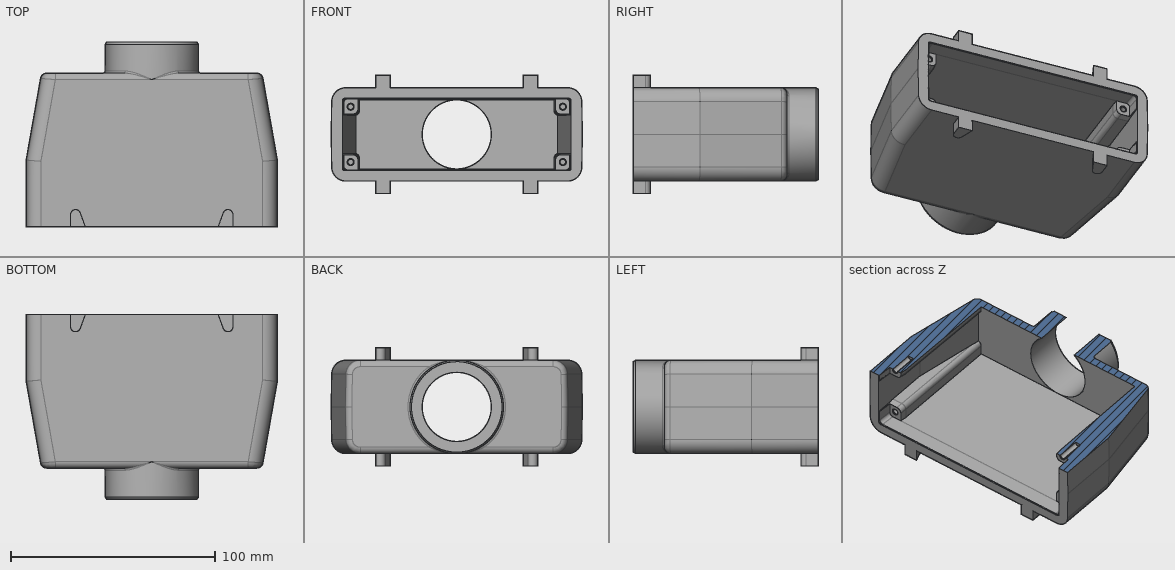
import cadquery as cq
import math

LENGTH = 123.0
SHELL_HALF_HEIGHT = 22.9
SHELL_DEPTH = 75.3
SIDE_BREAK_Y = 32.7
SIDE_ANGLE = 10.0
PARTING_DRAFT = 1.0
LONG_EDGE_RADIUS = 7.0
BACK_EDGE_RADIUS = 3.2

OVERALL_DEPTH = 90.5
COLLAR_RADIUS = SHELL_HALF_HEIGHT
COLLAR_RIM_CHAMFER_Y = 1.2
COLLAR_RIM_CHAMFER_R = 0.7
COLLAR_ROOT_RADIUS = 1.0
BORE_RADIUS = 16.9

MOUTH_HALF_X = 56.0
MOUTH_HALF_Z = 17.7
MOUTH_CHAMFER = 0.4
ENTRY_HALF_X = MOUTH_HALF_X - MOUTH_CHAMFER
ENTRY_DRAFT_X = 0.4
CAVITY_HALF_X = ENTRY_HALF_X - ENTRY_DRAFT_X
CAVITY_HALF_Z = MOUTH_HALF_Z - MOUTH_CHAMFER
CAVITY_BACK_HALF_Z = BORE_RADIUS
CAVITY_DEPTH = 70.7
CAVITY_CORNER_RADIUS = 1.8

BOSS_FRONT_Y = 7.9
BOSS_BREAK_Y = 11.3
BOSS_INNER_X = 48.3
BOSS_INNER_Z = 10.0
BOSS_DRAFT_STEP = 0.4
BOSS_CORNER_RADIUS = 2.5
SCREW_X = 51.9
SCREW_Z = 13.5
SCREW_RADIUS = 1.4
SCREW_CHAMFER = 0.4
SCREW_DEPTH = 12.3

OVERLAP = 1.2

LUG_OUTER_X = 39.7
LUG_TIP_RADIUS = 2.5
LUG_TIP_CENTRE_Y = 6.0
LUG_ANGLE = 20.0
LUG_HALF_SPAN_Z = 29.0


def side_shift(y):
    """Inward movement of an end wall at depth y."""
    return max(0.0, y - SIDE_BREAK_Y) * math.tan(math.radians(SIDE_ANGLE))


def mirrored(solid):
    """The solid together with its copies mirrored in X and in Z."""
    pair = solid.union(solid.mirror("YZ"))
    return pair.union(pair.mirror("XY"))


def xz_plane(y):
    """Sketch plane at depth y with local x = X, local y = Z, facing the mouth."""
    return cq.Workplane(cq.Plane(origin=(0, y, 0), xDir=(1, 0, 0), normal=(0, -1, 0)))


def loft(front, back):
    """Ruled solid between two closed outlines."""
    wires = [front.wire().val(), back.wire().val()]
    return cq.Workplane(cq.Solid.makeLoft(wires, True))


def frustum(front, back):
    """Solid with flat faces between two matching lists of corner points."""
    count = len(front)
    rings = [front, back]
    for i in range(count):
        j = (i + 1) % count
        rings.append([front[i], front[j], back[j], back[i]])
    faces = [cq.Face.makeFromWires(cq.Wire.makePolygon(ring, close=True)) for ring in rings]
    return cq.Workplane(cq.Solid.makeSolid(cq.Shell.makeShell(faces)))


def shell_outline(y):
    """Six corners of the shell section at depth y, widest at the parting plane."""
    half_x = LENGTH / 2 - side_shift(y)
    edge_x = half_x - SHELL_HALF_HEIGHT * math.tan(math.radians(PARTING_DRAFT))
    h = SHELL_HALF_HEIGHT
    section = [(half_x, 0), (edge_x, h), (-edge_x, h), (-half_x, 0), (-edge_x, -h), (edge_x, -h)]
    return [cq.Vector(x, y, z) for x, z in section]


def make_shell():
    """Outer body without its collar, lugs and cavity."""
    straight = frustum(shell_outline(0), shell_outline(SIDE_BREAK_Y))
    leaning = frustum(shell_outline(SIDE_BREAK_Y), shell_outline(SHELL_DEPTH))
    shell = straight.union(leaning)
    shell = shell.faces("<Z or >Z").edges("not |X").fillet(LONG_EDGE_RADIUS)
    return shell.faces(">Y").edges().fillet(BACK_EDGE_RADIUS)


def make_collar():
    """Turned collar with a chamfered rim, starting inside the back wall."""
    r = COLLAR_RADIUS
    profile = [
        (0, CAVITY_DEPTH),
        (r, CAVITY_DEPTH),
        (r, OVERALL_DEPTH - COLLAR_RIM_CHAMFER_Y),
        (r - COLLAR_RIM_CHAMFER_R, OVERALL_DEPTH),
        (0, OVERALL_DEPTH),
    ]
    return cq.Workplane("XY").polyline(profile).close().revolve(360, (0, 0, 0), (0, 1, 0))


def make_lug_pair():
    """One upper and one lower lug on the +X side, joined through the body."""
    angle = math.radians(LUG_ANGLE)
    r = LUG_TIP_RADIUS
    cx = LUG_OUTER_X - r
    cy = LUG_TIP_CENTRE_Y
    tangent = (cx - r * math.cos(angle), cy + r * math.sin(angle))
    return (
        cq.Workplane("XY")
        .moveTo(LUG_OUTER_X, 0)
        .lineTo(LUG_OUTER_X, cy)
        .threePointArc((cx, cy + r), tangent)
        .lineTo(tangent[0] - tangent[1] * math.tan(angle), 0)
        .close()
        .extrude(LUG_HALF_SPAN_Z, both=True)
    )


def make_boss():
    """Drafted boss filling the +X, +Z corner of the cavity."""
    x1 = MOUTH_HALF_X + OVERLAP
    z1 = MOUTH_HALF_Z + OVERLAP

    def outline(y, growth):
        x0 = BOSS_INNER_X - growth
        z0 = BOSS_INNER_Z - growth
        r = BOSS_CORNER_RADIUS
        mid = r * (1 - math.sqrt(0.5))
        return (
            xz_plane(y)
            .moveTo(x0 + r, z0)
            .lineTo(x1, z0)
            .lineTo(x1, z1)
            .lineTo(x0, z1)
            .lineTo(x0, z0 + r)
            .threePointArc((x0 + mid, z0 + mid), (x0 + r, z0))
            .close()
        )

    front = loft(outline(BOSS_FRONT_Y, 0), outline(BOSS_BREAK_Y, BOSS_DRAFT_STEP))
    back = loft(outline(BOSS_BREAK_Y, BOSS_DRAFT_STEP), outline(CAVITY_DEPTH, 2 * BOSS_DRAFT_STEP))
    return front.union(back)


def make_cavity():
    """Space inside the shell, with the four bosses left standing."""

    def outline(y, half_x, half_z):
        x = half_x - side_shift(y)
        section = [(x, half_z), (-x, half_z), (-x, -half_z), (x, -half_z)]
        return [cq.Vector(corner_x, y, corner_z) for corner_x, corner_z in section]

    def end_outline(y):
        return outline(y, MOUTH_HALF_X, BOSS_INNER_Z)

    mouth = frustum(
        outline(0, MOUTH_HALF_X, MOUTH_HALF_Z),
        outline(MOUTH_CHAMFER, ENTRY_HALF_X, CAVITY_HALF_Z),
    ).edges("not #Y").fillet(CAVITY_CORNER_RADIUS)
    entry = frustum(
        outline(MOUTH_CHAMFER, ENTRY_HALF_X, CAVITY_HALF_Z),
        outline(BOSS_FRONT_Y, CAVITY_HALF_X, CAVITY_HALF_Z),
    ).edges("not #Y").fillet(CAVITY_CORNER_RADIUS)
    slope = (CAVITY_HALF_Z - CAVITY_BACK_HALF_Z) / (CAVITY_DEPTH - BOSS_FRONT_Y)
    break_half_z = CAVITY_HALF_Z - slope * (SIDE_BREAK_Y - BOSS_FRONT_Y)
    middle = frustum(
        outline(BOSS_FRONT_Y, CAVITY_HALF_X, CAVITY_HALF_Z),
        outline(SIDE_BREAK_Y, CAVITY_HALF_X, break_half_z),
    )
    rear = frustum(
        outline(SIDE_BREAK_Y, CAVITY_HALF_X, break_half_z),
        outline(CAVITY_DEPTH, CAVITY_HALF_X, CAVITY_BACK_HALF_Z),
    )
    end_front = frustum(end_outline(0), end_outline(SIDE_BREAK_Y))
    end_rear = frustum(end_outline(SIDE_BREAK_Y), end_outline(CAVITY_DEPTH))
    cavity = mouth.union(entry).union(middle).union(rear).union(end_front).union(end_rear)
    return cavity.cut(mirrored(make_boss()))


def make_screw_hole():
    """Blind hole with a chamfered rim in the +X, +Z boss."""
    rim = xz_plane(BOSS_FRONT_Y).center(SCREW_X, SCREW_Z)
    hole = rim.circle(SCREW_RADIUS).extrude(-SCREW_DEPTH)
    entry = cq.Solid.makeCone(
        SCREW_RADIUS + SCREW_CHAMFER,
        SCREW_RADIUS,
        SCREW_CHAMFER,
        pnt=cq.Vector(SCREW_X, BOSS_FRONT_Y, SCREW_Z),
        dir=cq.Vector(0, 1, 0),
    )
    return hole.union(cq.Workplane(entry))


def collar_root():
    """Selector for the arcs where the collar meets the flat back wall."""
    reach = COLLAR_RADIUS + OVERLAP
    slab = 0.1
    low = (-reach, SHELL_DEPTH - slab, -reach)
    high = (reach, SHELL_DEPTH + slab, reach)
    return cq.selectors.BoxSelector(low, high)


shell_with_collar = make_shell().union(make_collar())
shell_with_collar = shell_with_collar.edges(collar_root()).edges("%CIRCLE").fillet(COLLAR_ROOT_RADIUS)
lug = make_lug_pair()
bore_start = CAVITY_DEPTH - OVERLAP
bore = xz_plane(bore_start).circle(BORE_RADIUS).extrude(bore_start - OVERALL_DEPTH)

result = (
    shell_with_collar.union(lug)
    .union(lug.mirror("YZ"))
    .cut(make_cavity())
    .cut(mirrored(make_screw_hole()))
    .cut(bore)
)